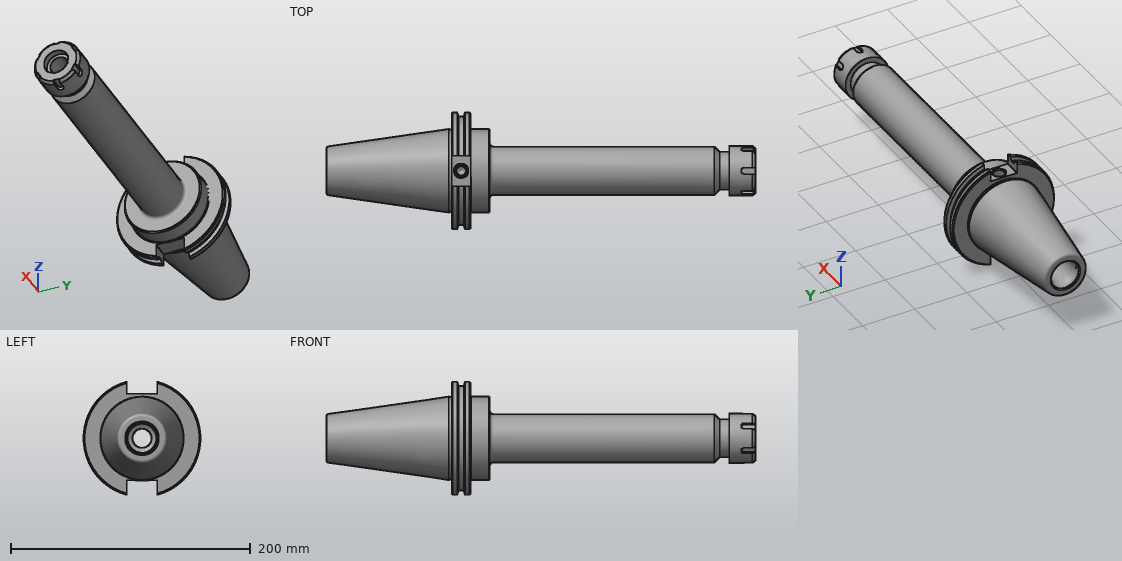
import cadquery as cq
import math

total_length = 358.5
taper_end = 102.2
flange_start = 104.7
flange_width = 15.8
flange_end = flange_start + flange_width
collar_end = 136.5
shank_end = 328.5
nut_start = 336.5
nose_length = 16.0
nose_end = nut_start + nose_length

small_end_diameter = 40.5
gauge_diameter = 70.0
undercut_diameter = 69.2
flange_diameter = 98.0
collar_diameter = 70.0
shank_diameter = 40.5
nose_diameter = 32.0
nut_diameter = 41.5

shank_tip_length = (shank_diameter - nose_diameter) / 2
small_end_fillet = 2.5
flange_chamfer = 1.0
collar_chamfer = 1.0
shank_root_fillet = 3.0
collar_root_fillet = 0.7
nut_chamfer_length = 3.0
nut_chamfer_height = 2.0

groove_center = 112.5
groove_diameter = 91.0
groove_floor_width = 4.3
groove_flank_angle = 18.0

drive_slot_width = 25.5
upper_slot_height = 37.3
lower_slot_height = 35.0
pilot_mouth_diameter = 12.2
pilot_thread_diameter = 10.0
pilot_thread_depth = 7.0
pilot_drill_diameter = 8.0
pilot_drill_depth = 9.0
drill_point_angle = 118.0
drill_point_slope = math.tan(math.radians(drill_point_angle / 2))

mouth_diameter = 28.5
mouth_depth = 1.0
counterbore_diameter = 26.2
counterbore_depth = 5.7
counterbore_cone_length = 3.5
thread_diameter = 24.0
thread_depth = 28.7
through_diameter = 15.8

nut_opening_diameter = 22.0
wrench_slot_count = 6
wrench_slot_width = 5.5
wrench_slot_length = 12.2
wrench_slot_floor = 18.0


def revolve_about_x(sketch):
    """The (x, radius) profile, closed and turned a full circle about the X axis."""
    return sketch.close().revolve(360, (0, 0, 0), (1, 0, 0))


def cylinder(diameter, start, end):
    return cq.Workplane("YZ", origin=(start, 0, 0)).circle(diameter / 2).extrude(end - start)


def make_root_fillet(start, radius, fillet):
    """Ring with a hollow quarter-round flank, filling the corner where a cylinder leaves a shoulder."""
    arc_offset = fillet * (1 - math.sqrt(0.5))
    return revolve_about_x(
        cq.Workplane("XY")
        .moveTo(start, 0)
        .lineTo(start, radius + fillet)
        .threePointArc((start + arc_offset, radius + arc_offset), (start + fillet, radius))
        .lineTo(start + fillet, 0)
    )


def make_outside():
    taper = revolve_about_x(
        cq.Workplane("XY")
        .lineTo(0, small_end_diameter / 2)
        .lineTo(taper_end, gauge_diameter / 2)
        .lineTo(taper_end, 0)
    ).faces("<X").edges().fillet(small_end_fillet)
    undercut = cylinder(undercut_diameter, taper_end, flange_start)
    flange = cylinder(flange_diameter, flange_start, flange_end).edges().chamfer(flange_chamfer)
    collar = cylinder(collar_diameter, flange_end, collar_end).faces(">X").edges().chamfer(collar_chamfer)
    collar_root = make_root_fillet(flange_end, collar_diameter / 2, collar_root_fillet)
    shank_radius = shank_diameter / 2
    shank_root = make_root_fillet(collar_end, shank_radius, shank_root_fillet)
    shank = revolve_about_x(
        cq.Workplane("XY")
        .moveTo(collar_end, 0)
        .lineTo(collar_end, shank_radius)
        .lineTo(shank_end - shank_tip_length, shank_radius)
        .lineTo(shank_end, nose_diameter / 2)
        .lineTo(shank_end, 0)
    )
    nose = cylinder(nose_diameter, shank_end, nose_end)
    outside = taper
    for section in (undercut, flange, collar, collar_root, shank, shank_root, nose):
        outside = outside.union(section)
    return outside


def make_gripper_groove():
    outer_radius = flange_diameter / 2
    floor_radius = groove_diameter / 2
    flare = (outer_radius - floor_radius) * math.tan(math.radians(groove_flank_angle))
    half_floor = groove_floor_width / 2
    return revolve_about_x(
        cq.Workplane("XY")
        .moveTo(groove_center - half_floor, floor_radius)
        .lineTo(groove_center - half_floor - flare, outer_radius)
        .lineTo(groove_center + half_floor + flare, outer_radius)
        .lineTo(groove_center + half_floor, floor_radius)
    )


def make_drive_slot(floor_height, side):
    """Slot across the flange: side is 1 above the axis and -1 below it."""
    height = flange_diameter / 2 - floor_height
    middle = flange_start + flange_width / 2
    return cq.Workplane("XY").box(flange_width, drive_slot_width, height).translate(
        (middle, 0, side * (floor_height + height / 2))
    )


def make_pilot_hole():
    mouth_radius = pilot_mouth_diameter / 2
    thread_radius = pilot_thread_diameter / 2
    drill_radius = pilot_drill_diameter / 2
    return (
        cq.Workplane("XZ")
        .lineTo(mouth_radius, 0)
        .lineTo(thread_radius, thread_radius - mouth_radius)
        .lineTo(thread_radius, -pilot_thread_depth)
        .lineTo(drill_radius, -pilot_thread_depth)
        .lineTo(drill_radius, -pilot_drill_depth)
        .lineTo(0, -pilot_drill_depth - drill_radius / drill_point_slope)
        .close()
        .revolve(360, (0, 0, 0), (0, 1, 0))
        .translate((groove_center, 0, upper_slot_height))
    )


def make_bore():
    mouth_radius = mouth_diameter / 2
    counterbore_radius = counterbore_diameter / 2
    thread_radius = thread_diameter / 2
    through_radius = through_diameter / 2
    drill_cone_length = (thread_radius - through_radius) / drill_point_slope
    return revolve_about_x(
        cq.Workplane("XY")
        .lineTo(0, mouth_radius)
        .lineTo(mouth_depth, counterbore_radius)
        .lineTo(counterbore_depth, counterbore_radius)
        .lineTo(counterbore_depth + counterbore_cone_length, thread_radius)
        .lineTo(thread_depth, thread_radius)
        .lineTo(thread_depth + drill_cone_length, through_radius)
        .lineTo(nose_end, through_radius)
        .lineTo(nose_end, 0)
    )


def make_holder():
    return (
        make_outside()
        .cut(make_gripper_groove())
        .cut(make_drive_slot(upper_slot_height, 1))
        .cut(make_drive_slot(lower_slot_height, -1))
        .cut(make_pilot_hole())
        .cut(make_bore())
    )


def make_wrench_slot():
    """Slot at the top of the nut, open at the front, with a rounded inner end."""
    height = nut_diameter / 2 - wrench_slot_floor
    half_width = wrench_slot_width / 2
    inner_end = total_length - wrench_slot_length
    return (
        cq.Workplane("XY", origin=(0, 0, wrench_slot_floor))
        .moveTo(total_length, half_width)
        .lineTo(inner_end + half_width, half_width)
        .threePointArc((inner_end, 0), (inner_end + half_width, -half_width))
        .lineTo(total_length, -half_width)
        .close()
        .extrude(height)
    )


def make_nut():
    nut = cylinder(nut_diameter, nut_start, total_length)
    nut = nut.faces(">X").edges().chamfer(nut_chamfer_length, nut_chamfer_height)
    nut = nut.cut(cylinder(nose_diameter, nut_start, nose_end))
    nut = nut.cut(cylinder(nut_opening_diameter, nose_end, total_length))
    slot = make_wrench_slot()
    for index in range(wrench_slot_count):
        angle = index * 360 / wrench_slot_count
        nut = nut.cut(slot.rotate((0, 0, 0), (1, 0, 0), angle))
    return nut


holder = make_holder()
nut = make_nut()
result = cq.Compound.makeCompound([holder.solids().val(), nut.solids().val()])